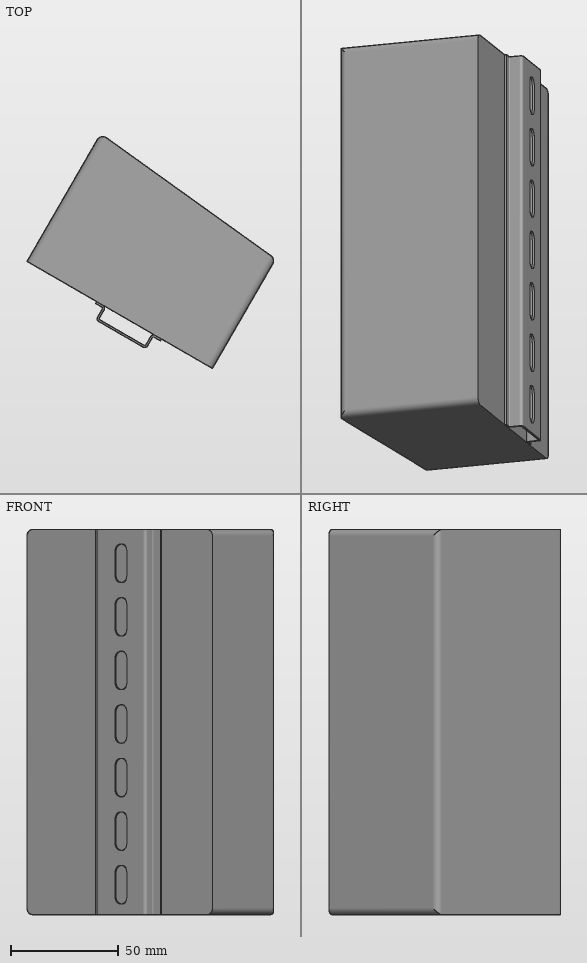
import cadquery as cq

LENGTH = 180.0
TURN_ANGLE = -30.0

HOUSING_WIDTH = 100.0
LEFT_DEPTH = 69.0
RIGHT_DEPTH = 59.0
EDGE_RADIUS = 3.0

RAIL_WIDTH = 35.0
CHANNEL_WIDTH = 27.0
RAIL_HEIGHT = 7.5
SHEET_THICKNESS = 1.0
BEND_RADIUS = 0.99
RAIL_CENTER_X = 55.0

SLOT_COUNT = 7
SLOT_PITCH = 25.0
SLOT_LENGTH = 18.0
SLOT_WIDTH = 6.3
SLOT_ROW_SHIFT = -0.9


def make_housing():
    """Box with a sloping front, rounded along its four long depth edges and its two front uprights."""
    left = -RAIL_CENTER_X
    right = left + HOUSING_WIDTH
    outline = [(left, 0), (right, 0), (right, RIGHT_DEPTH), (left, LEFT_DEPTH)]
    body = cq.Workplane("XY").workplane(offset=-LENGTH / 2).polyline(outline).close().extrude(LENGTH)
    body = body.faces(">Y").edges("|Z").fillet(EDGE_RADIUS)
    envelope = (
        cq.Workplane("XZ")
        .center((left + right) / 2, 0)
        .rect(HOUSING_WIDTH, LENGTH)
        .extrude(-LEFT_DEPTH)
        .edges("|Y")
        .fillet(EDGE_RADIUS)
    )
    return body.intersect(envelope)


def make_rail():
    """Bent sheet: two flanges against the housing, joined by a channel that stands away from it."""
    half_rail = RAIL_WIDTH / 2
    wall_middle = (CHANNEL_WIDTH - SHEET_THICKNESS) / 2
    flange_y = -SHEET_THICKNESS / 2
    floor_y = SHEET_THICKNESS / 2 - RAIL_HEIGHT
    center_line = (
        cq.Workplane("XY")
        .workplane(offset=-LENGTH / 2)
        .moveTo(-half_rail, flange_y)
        .lineTo(-wall_middle - BEND_RADIUS, flange_y)
        .radiusArc((-wall_middle, flange_y - BEND_RADIUS), BEND_RADIUS)
        .lineTo(-wall_middle, floor_y + BEND_RADIUS)
        .radiusArc((-wall_middle + BEND_RADIUS, floor_y), -BEND_RADIUS)
        .lineTo(wall_middle - BEND_RADIUS, floor_y)
        .radiusArc((wall_middle, floor_y + BEND_RADIUS), -BEND_RADIUS)
        .lineTo(wall_middle, flange_y - BEND_RADIUS)
        .radiusArc((wall_middle + BEND_RADIUS, flange_y), BEND_RADIUS)
        .lineTo(half_rail, flange_y)
    )
    strip = center_line.offset2D(SHEET_THICKNESS / 2).extrude(LENGTH)
    return strip.intersect(cq.Workplane("XY").box(RAIL_WIDTH, 2 * RAIL_HEIGHT, LENGTH))


def cut_slots(rail):
    """Cut the row of through slots along the middle of the channel floor."""
    lowest_z = SLOT_ROW_SHIFT - (SLOT_COUNT - 1) / 2 * SLOT_PITCH
    centers = [(0, lowest_z + i * SLOT_PITCH) for i in range(SLOT_COUNT)]
    slots = cq.Workplane("XZ").pushPoints(centers).slot2D(SLOT_LENGTH, SLOT_WIDTH, 90).extrude(RAIL_HEIGHT)
    return rail.cut(slots)


def turn(body):
    """Turn a body into its final direction about Z."""
    return body.rotate((0, 0, 0), (0, 0, 1), TURN_ANGLE)


housing = turn(make_housing())
rail = turn(cut_slots(make_rail()))

result = cq.Compound.makeCompound([housing.val(), rail.val()])